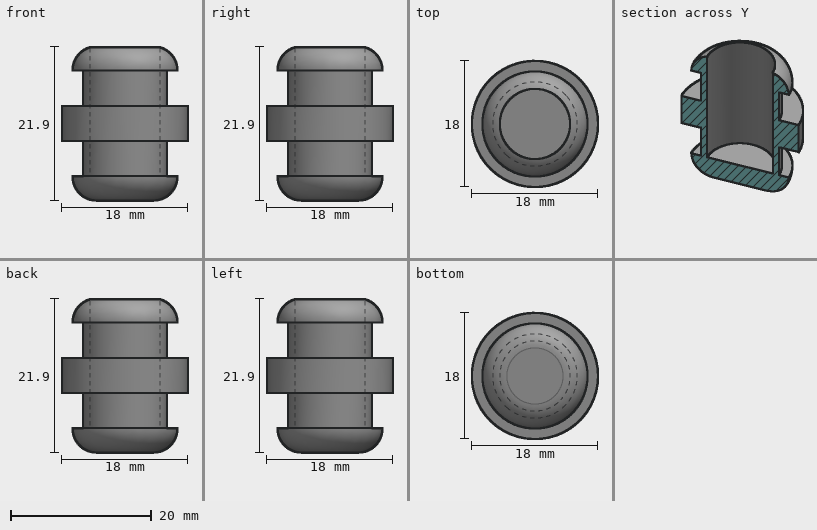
import cadquery as cq
import math

total_height = 21.85
flange_radius = 9.0
head_radius = 7.5
neck_radius = 6.0
bore_radius = 5.0
rounding_radius = 3.5

rounding_center = head_radius - rounding_radius
rim_height = math.sqrt(rounding_radius**2 - (bore_radius - rounding_center)**2)

section_height = (total_height - rounding_radius - rim_height) / 3

lower_neck_z = rounding_radius
flange_z = lower_neck_z + section_height
upper_neck_z = flange_z + section_height
upper_head_z = upper_neck_z + section_height
bore_floor_z = lower_neck_z

arc_offset = rounding_radius * math.sin(math.pi / 4)
rim_mid_angle = math.atan2(rim_height, bore_radius - rounding_center) / 2
rim_mid_radius = rounding_center + rounding_radius * math.cos(rim_mid_angle)
rim_mid_z = upper_head_z + rounding_radius * math.sin(rim_mid_angle)

profile = (
    cq.Workplane("XZ")
    .lineTo(rounding_center, 0)
    .threePointArc(
        (rounding_center + arc_offset, rounding_radius - arc_offset),
        (head_radius, lower_neck_z),
    )
    .lineTo(neck_radius, lower_neck_z)
    .lineTo(neck_radius, flange_z)
    .lineTo(flange_radius, flange_z)
    .lineTo(flange_radius, upper_neck_z)
    .lineTo(neck_radius, upper_neck_z)
    .lineTo(neck_radius, upper_head_z)
    .lineTo(head_radius, upper_head_z)
    .threePointArc((rim_mid_radius, rim_mid_z), (bore_radius, total_height))
    .lineTo(bore_radius, bore_floor_z)
    .lineTo(0, bore_floor_z)
    .close()
)

result = profile.revolve(360, (0, 0), (0, 1))